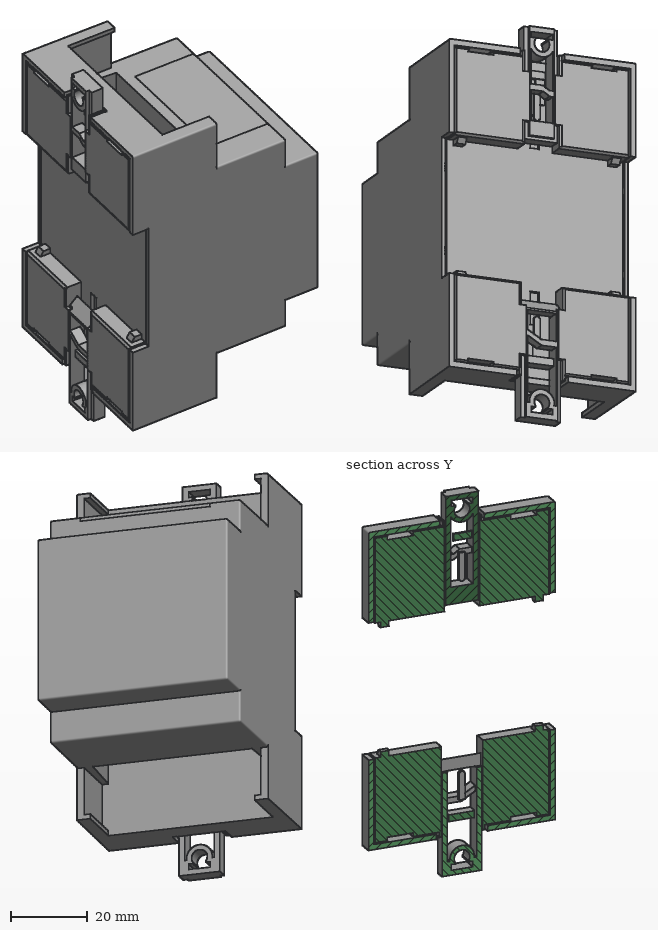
import cadquery as cq


width = 53.4
half_width = width / 2
depth = 58.0
side_draft = 0.4
shoulder_front, shoulder_half = 26.2, 45.0
middle_front, middle_half = 47.9, 30.7
nose_half = 22.2
edge_round = 0.5
block_overlap = 8.6

opening_half, opening_back = 22.8, 11.7
cavity_half, end_rim = 24.5, 1.3
passage_front_half = 22.0

wall = 1.6
pocket_half_x = 25.1
pocket_half_z = shoulder_half - wall
plate_back, plate_thickness = 4.9, 1.6
plate_front = plate_back + plate_thickness
recess_half = 19.3
rail_ledge_half, rail_ledge_depth = 25.7, 0.5
ledge_notch_z, ledge_notch_height, ledge_notch_depth = 11.5, 2.0, 0.9

foot_gap = 0.27
foot_chamfer = 0.4
rail_chamfer = 0.6
channel_step_width, channel_step_depth = 0.6, 0.2
foot_rail_end = 19.0
foot_outer_x = pocket_half_x - foot_gap
foot_outer_z = pocket_half_z - foot_gap
lip_inner_z, lip_outer_z, lip_depth = 25.3, 38.9, 1.2
lip_reach = 1.3
guide_end = 44.6
notch_clearance = 1.4
notch_depth = 5.0

hook_x, hook_width, hook_reach = 22.0, 2.5, 17.5
hook_back, hook_tip_back = 1.8, 2.8
snap_x, snap_width, snap_height = 17.6, 6.0, 0.8
snap_start, snap_end = 0.2, 1.3
snap_slot_width, snap_slot_end = 7.3, 42.1

panel_half_x, panel_back, panel_thickness = 17.9, 29.4, 1.1

clip_back, clip_step, clip_front = 0.3, 1.3, 4.8
clip_gap = 0.2
ear_step = 1.2
wall_thin = 0.4
ring_from_end, ring_outer, ring_inner = 4.5, 3.5, 2.1
window_start, window_end, window_half = 1.5, 3.0, 3.0
neck_half, yoke_length = 1.8, 4.1
spring_front, pin_front = 3.4, 4.2
spring_flat_z, spring_thickness = 34.9, 1.6
pin_half, pin_tip_z = 0.9, 26.8
slot_half, slot_start, slot_end, slot_depth = 1.3, 19.7, 28.8, 1.1

stop_arm_back = 4.3
stop_arm_width, stop_arm_start = 2.6, 31.7
stop_ridge_start, stop_ridge_end = 38.6, 40.6

channel_half = {1: 4.9, -1: 5.9}
clip_end = {1: 51.5, -1: 55.8}
clip_tip = {1: 20.7, -1: 22.9}
pocket_end = {1: 25.7, -1: 26.4}
tip_narrow = {1: 21.6, -1: clip_tip[-1]}
spring_bent_z = {1: 33.7, -1: 32.6}
spring_bend = {1: (0.3, 2.1), -1: (0.1, 4.1)}
stop_arm_outer = {1: 2.5, -1: 3.5}
stop_ridge_back = {1: 3.9, -1: 1.5}
ramp_front, ramp_end = 3.5, 25.9
SIDES = (1, -1)


def span(x, y, z):
    """Box between two limits on each axis, given in either order."""
    sizes = [abs(b - a) for a, b in (x, y, z)]
    corner = [min(limits) for limits in (x, y, z)]
    return cq.Workplane("XY").box(*sizes, centered=False).translate(tuple(corner))


def extrude_x(points, x_start, length):
    """Prism along X from a (Y, Z) outline."""
    return cq.Workplane("YZ").workplane(offset=x_start).polyline(points).close().extrude(length)


def extrude_y(points, y_start, y_end):
    """Prism along Y from an (X, Z) outline."""
    return (
        cq.Workplane("XZ", origin=(0, y_start, 0)).polyline(points).close().extrude(y_start - y_end)
    )


def disc(radius, z):
    """Cylinder along Y through the full clip depth."""
    return cq.Workplane("XZ", origin=(0, clip_back, z)).circle(radius).extrude(clip_back - clip_front)


def drafted_block(back, front, half_z):
    """Block whose sides lean inwards towards the front."""
    def half_at(y):
        return half_width - side_draft * y / depth

    outline = [
        (-half_at(back), back),
        (half_at(back), back),
        (half_at(front), front),
        (-half_at(front), front),
    ]
    return cq.Workplane("XY").polyline(outline).close().extrude(half_z, both=True)


def make_middle_block():
    block = drafted_block(shoulder_front - block_overlap, middle_front, middle_half)
    return block.faces(">Y or >Z or <Z").edges().fillet(edge_round)


def make_panel_space():
    """Region of the upper step that the label panel takes up."""
    return span(
        (-panel_half_x, panel_half_x),
        (panel_back, middle_front),
        (middle_half - panel_thickness, middle_half),
    )


def make_snap(x, side):
    """Ramp on the inside of the rear rim that holds the base."""
    root = side * pocket_half_z
    outline = [(snap_start, root), (snap_end, root - side * snap_height), (snap_end, root)]
    return extrude_x(outline, x - snap_width / 2, snap_width)


def make_housing():
    shoulder = drafted_block(0, shoulder_front, shoulder_half)
    shoulder = shoulder.faces(">Z").edges("<X or >X").fillet(edge_round)
    nose = drafted_block(middle_front - block_overlap, depth, nose_half)
    nose = nose.faces(">Y or >Z or <Z").edges().fillet(edge_round)
    body = shoulder.union(make_middle_block()).union(nose).cut(make_panel_space())

    for side in SIDES:
        body = body.cut(
            span(
                (-opening_half, opening_half),
                (opening_back, shoulder_front),
                (side * middle_half, side * shoulder_half),
            )
        )
        body = body.cut(
            span(
                (-cavity_half, cavity_half),
                (opening_back, shoulder_front),
                (side * middle_half, side * (shoulder_half - end_rim)),
            )
        )
    passage = [
        (-opening_half, opening_back),
        (opening_half, opening_back),
        (passage_front_half, shoulder_front),
        (-passage_front_half, shoulder_front),
    ]
    body = body.cut(cq.Workplane("XY").polyline(passage).close().extrude(middle_half, both=True))

    body = body.cut(
        span((-half_width, half_width), (0, plate_back), (-recess_half, recess_half))
    )
    body = body.cut(
        span(
            (-pocket_half_x, pocket_half_x), (0, plate_front), (-pocket_half_z, pocket_half_z)
        )
    )
    body = body.cut(
        span(
            (-rail_ledge_half, rail_ledge_half),
            (plate_back, plate_back + rail_ledge_depth),
            (-recess_half, recess_half),
        )
    )
    for side in SIDES:
        for z in (ledge_notch_z, -ledge_notch_z):
            body = body.cut(
                span(
                    (side * pocket_half_x, side * rail_ledge_half),
                    (plate_back, plate_back + rail_ledge_depth + ledge_notch_depth),
                    (z - ledge_notch_height / 2, z + ledge_notch_height / 2),
                )
            )

    for side in SIDES:
        notch_half = channel_half[side] + notch_clearance
        body = body.cut(
            span(
                (-notch_half, notch_half),
                (0, notch_depth),
                (side * pocket_half_z, side * shoulder_half),
            )
        )
        for x in (snap_x, -snap_x):
            body = body.union(make_snap(x, side))
    return body


def make_foot(side):
    """Right-hand foot of the upper (+1) or lower (-1) pair."""
    inner = channel_half[side]
    foot = span(
        (inner, foot_outer_x), (0, plate_back), (side * foot_rail_end, side * foot_outer_z)
    )
    rail_edge = "<Z" if side == 1 else ">Z"
    outer_edge = ">Z" if side == 1 else "<Z"
    foot = foot.faces("<Y").edges(f">X or {outer_edge}").chamfer(foot_chamfer)
    foot = foot.faces("<Y").edges(rail_edge).chamfer(rail_chamfer)
    foot = foot.cut(
        span(
            (inner, inner + channel_step_width),
            (0, channel_step_depth),
            (side * foot_rail_end, side * foot_outer_z),
        )
    )

    foot = foot.union(
        span(
            (inner - lip_reach, inner + channel_step_width),
            (0, lip_depth),
            (side * lip_inner_z, side * lip_outer_z),
        )
    )
    foot = foot.union(
        span(
            (inner, inner + channel_step_width),
            (channel_step_depth, plate_back),
            (side * (foot_outer_z - foot_gap), side * guide_end),
        )
    )

    foot = foot.cut(
        span(
            (snap_x - snap_slot_width / 2, snap_x + snap_slot_width / 2),
            (0, plate_back),
            (side * snap_slot_end, side * pocket_half_z),
        )
    )

    hook = [
        (plate_back, side * foot_rail_end),
        (plate_back, side * hook_reach),
        (hook_tip_back, side * hook_reach),
        (hook_back, side * foot_rail_end),
    ]
    return foot.union(extrude_x(hook, hook_x - hook_width / 2, hook_width))


def make_stop(side):
    """Arm under the spring and cross ridge beside it, both standing on the base plate."""
    outer = side * stop_arm_outer[side]
    inner = outer - side * stop_arm_width
    far = -side * pocket_half(side)
    arm = span(
        (inner, outer),
        (stop_arm_back, plate_back),
        (side * stop_arm_start, side * stop_ridge_end),
    )
    ridge = span(
        (far + side * clip_gap, outer),
        (stop_ridge_back[side], plate_back),
        (side * stop_ridge_start, side * stop_ridge_end),
    )
    return arm.union(ridge)


def make_base():
    base = span(
        (-pocket_half_x, pocket_half_x),
        (plate_back, plate_front),
        (-pocket_half_z, pocket_half_z),
    )
    for side in SIDES:
        foot = make_foot(side)
        base = base.union(foot).union(foot.mirror("YZ")).union(make_stop(side))
        base = base.cut(
            span(
                (-slot_half, slot_half),
                (plate_back, plate_back + slot_depth),
                (side * slot_start, side * slot_end),
            )
        )
    return base


def clip_half(side):
    return channel_half[side] - clip_gap


def pocket_half(side):
    return clip_half(side) - ear_step - wall_thin


def make_spring(side):
    """Bent ribbon across the pocket, with a pin that points to the clip tip."""
    bend_start, bend_end = spring_bend[side]
    reach = pocket_half(side) + wall_thin
    centre_line = [
        (-reach, spring_flat_z),
        (bend_start, spring_flat_z),
        (min(bend_end, reach), spring_bent_z[side]),
    ]
    if bend_end < reach:
        centre_line.append((reach, spring_bent_z[side]))
    shift = spring_thickness / 2
    outline = [(side * x, side * (z + shift)) for x, z in centre_line]
    outline += [(side * x, side * (z - shift)) for x, z in reversed(centre_line)]
    ribbon = extrude_y(outline, clip_back, spring_front)
    pin = span(
        (-pin_half, pin_half),
        (spring_front, pin_front),
        (side * (pin_tip_z + pin_half), side * spring_flat_z),
    )
    tip = (
        cq.Workplane("XZ", origin=(0, spring_front, side * (pin_tip_z + pin_half)))
        .circle(pin_half)
        .extrude(spring_front - pin_front)
    )
    return ribbon.union(pin).union(tip)


def make_clip(side):
    half = clip_half(side)
    inner = pocket_half(side)
    end = clip_end[side]
    tip = clip_tip[side]
    full_depth = (clip_back, clip_front)

    front = span((-half, half), (clip_step, clip_front), (side * tip, side * end))
    narrow = half - ear_step
    clip = front.union(
        span((-narrow, narrow), (clip_back, clip_step), (side * tip_narrow[side], side * end))
    )

    if side == -1:
        ramp = [(ramp_front, -tip), (clip_back, -tip), (clip_back, -ramp_end)]
        clip = clip.cut(extrude_x(ramp, -half, 2 * half))
        clip = clip.cut(span((-half, half), (ramp_front, clip_front), (-tip, -pocket_end[side])))

    clip = clip.cut(
        span((-inner, inner), full_depth, (side * pocket_end[side], side * (end - yoke_length)))
    )
    ring_z = side * (end - ring_from_end)
    pocket_width = span((-inner, inner), full_depth, (0, side * end))
    clip = clip.union(disc(ring_outer, ring_z).intersect(pocket_width))
    clip = clip.cut(disc(ring_inner, ring_z))
    clip = clip.cut(span((-neck_half, neck_half), full_depth, (side * (end - window_end), ring_z)))
    clip = clip.cut(
        span(
            (-window_half, window_half),
            full_depth,
            (side * (end - window_start), side * (end - window_end)),
        )
    )
    return clip.union(make_spring(side))


housing = make_housing()
base = make_base()
upper_clip, lower_clip = (make_clip(side) for side in SIDES)
label_panel = make_middle_block().intersect(make_panel_space())

result = cq.Compound.makeCompound(
    [housing.val(), base.val(), upper_clip.val(), lower_clip.val(), label_panel.val()]
)